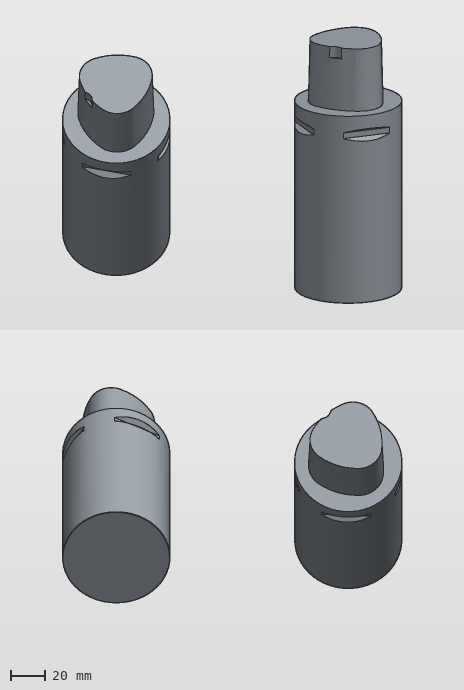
import cadquery as cq
import math

body_diameter = 63.0
body_length = 115.0
bottom_chamfer = 0.3
body_radius = body_diameter / 2

shank_length = 38.0
side_slope = 1 / 40
shank_taper = math.degrees(math.atan(side_slope))
lobe_reach = 23.55
flank_reach = 20.3
lobe_radius = 14.5
lobe_count = 3
first_lobe_direction = 90.0
lobe_pitch = 360 / lobe_count

groove_count = 4
first_groove_direction = 45.0
groove_drop = 12.0
groove_floor_height = 3.5
groove_depth = 3.6
groove_flank_angle = 30.0

notch_height = 6.6
notch_floor_y = -17.9
notch_radius = 6.0

clearance = 2.0


def polar(radius, degrees):
    angle = math.radians(degrees)
    return (radius * math.cos(angle), radius * math.sin(angle))


def lobe_junction():
    """Polar place, measured from a lobe's axis, where the lobe arc runs tangent into the flank arc."""
    lobe_center = lobe_reach - lobe_radius
    flank_step = flank_reach - lobe_radius
    squared_lengths = lobe_center**2 + flank_step**2 - lobe_center * flank_step
    center_distance = squared_lengths / (2 * flank_step - lobe_center)
    flank_center = center_distance - flank_step
    half_pitch = math.radians(lobe_pitch / 2)
    along = lobe_center + flank_center * math.cos(half_pitch)
    across = flank_center * math.sin(half_pitch)
    junction_along = lobe_center + lobe_radius * along / center_distance
    junction_across = lobe_radius * across / center_distance
    junction_angle = math.degrees(math.atan2(junction_across, junction_along))
    junction_radius = math.hypot(junction_along, junction_across)
    return junction_angle, junction_radius


def make_body():
    body = cq.Workplane("XY").circle(body_radius).extrude(body_length)
    return body.faces("<Z").chamfer(bottom_chamfer)


def make_shank():
    half_angle, junction_radius = lobe_junction()
    outline = cq.Workplane("XY", origin=(0, 0, body_length))
    outline = outline.moveTo(*polar(junction_radius, first_lobe_direction - half_angle))
    for index in range(lobe_count):
        lobe = first_lobe_direction + index * lobe_pitch
        flank = lobe + lobe_pitch / 2
        lobe_end = polar(junction_radius, lobe + half_angle)
        flank_end = polar(junction_radius, lobe + lobe_pitch - half_angle)
        outline = outline.threePointArc(polar(lobe_reach, lobe), lobe_end)
        outline = outline.threePointArc(polar(flank_reach, flank), flank_end)
    return outline.close().extrude(shank_length, taper=shank_taper)


def make_groove(direction):
    """Trapezoidal groove running straight across the body, facing the given direction in degrees."""
    floor_radius = body_radius - groove_depth
    mouth_radius = body_radius + clearance
    floor_half = groove_floor_height / 2
    mouth_half = floor_half + (mouth_radius - floor_radius) * math.tan(math.radians(groove_flank_angle))
    return (
        cq.Workplane("XZ", origin=(0, 0, body_length - groove_drop))
        .moveTo(floor_radius, -floor_half)
        .lineTo(mouth_radius, -mouth_half)
        .lineTo(mouth_radius, mouth_half)
        .lineTo(floor_radius, floor_half)
        .close()
        .extrude(body_radius, both=True)
        .rotate((0, 0, 0), (0, 0, 1), direction)
    )


def make_notch():
    top = body_length + shank_length
    return (
        cq.Workplane("XY", origin=(0, notch_floor_y - notch_radius, top - notch_height))
        .circle(notch_radius)
        .extrude(notch_height + clearance)
    )


result = make_body().union(make_shank())
for index in range(groove_count):
    result = result.cut(make_groove(first_groove_direction + index * 360 / groove_count))
result = result.cut(make_notch())